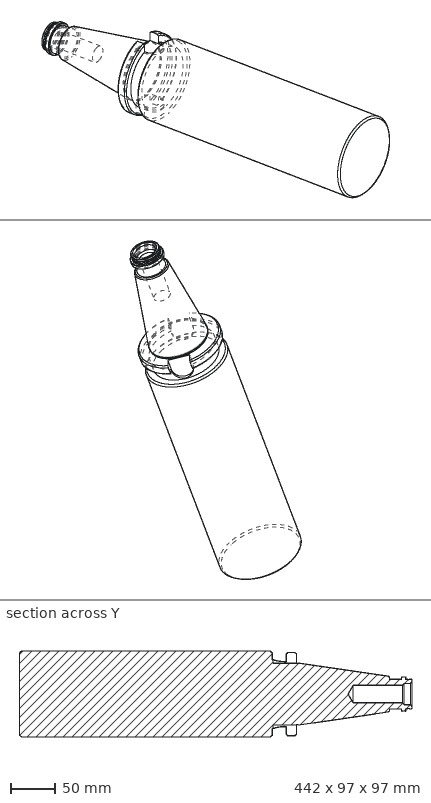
import cadquery as cq
import math

total_length = 442.0
body_radius = 48.5
body_start = 157.5
body_chamfer = 2.0

taper_start = 25.0
gauge_plane = 127.0
gauge_radius = 35.0
taper_slope = 7 / 48
taper_chamfer = 1.5
undercut_width = 1.8
undercut_depth = 0.5

flange_start = 130.0
flange_end = 142.0
flange_chamfer = 1.8
neck_radius = 39.0

pilot_radius = 17.0
pilot_chamfer = 0.5
groove_start = 2.5
groove_end = 5.5
groove_depth = 0.5
collar_start = 7.0
collar_end = 12.0
collar_radius = 19.5
collar_chamfer = 0.5

slot_width = 25.5
slot_end = 156.5
slot_floor = gauge_radius

mouth_radius = 14.0
clearance_radius = 12.0
clearance_start = 1.8
clearance_end = 9.0
bore_radius = 9.5
bore_start = clearance_end + clearance_radius - bore_radius
bore_end = 66.3
drill_point_angle = 120.0


def revolve(profile):
    """Revolve an outline of (x, radius) points about the X axis."""
    return cq.Workplane("XZ").polyline(profile).close().revolve(360, (0, 0, 0), (1, 0, 0))


def chamfered_disc(start, end, radius, chamfer):
    """Cylinder along X with both rims chamfered at 45 degrees."""
    return revolve([
        (start, 0),
        (start, radius - chamfer),
        (start + chamfer, radius),
        (end - chamfer, radius),
        (end, radius - chamfer),
        (end, 0),
    ])


def pilot():
    """Pilot cylinder with a V groove between its end and the collar."""
    return revolve([
        (0, 0),
        (0, pilot_radius - pilot_chamfer),
        (pilot_chamfer, pilot_radius),
        (groove_start, pilot_radius),
        ((groove_start + groove_end) / 2, pilot_radius - groove_depth),
        (groove_end, pilot_radius),
        (taper_start, pilot_radius),
        (taper_start, 0),
    ])


def taper():
    """Taper up to the gauge plane, then a cylinder undercut against the flange."""
    rim_x = taper_start + taper_chamfer
    rim_radius = gauge_radius - taper_slope * (gauge_plane - rim_x)
    undercut_start = flange_start - undercut_width
    undercut_radius = gauge_radius - undercut_depth
    return revolve([
        (taper_start, 0),
        (taper_start, rim_radius - taper_chamfer),
        (rim_x, rim_radius),
        (gauge_plane, gauge_radius),
        (undercut_start, gauge_radius),
        (undercut_start, undercut_radius),
        (flange_start, undercut_radius),
        (flange_start, 0),
    ])


def neck():
    return revolve([
        (flange_end, 0),
        (flange_end, neck_radius),
        (body_start, neck_radius),
        (body_start, 0),
    ])


def drive_slot():
    """Flat-floored slot above the axis, open toward the taper, with a round end."""
    half_width = slot_width / 2
    straight_end = slot_end - half_width
    return (
        cq.Workplane("XY")
        .workplane(offset=slot_floor)
        .moveTo(gauge_plane, -half_width)
        .lineTo(straight_end, -half_width)
        .threePointArc((slot_end, 0), (straight_end, half_width))
        .lineTo(gauge_plane, half_width)
        .close()
        .extrude(body_radius - slot_floor)
    )


def drawbar_bore():
    point_length = bore_radius / math.tan(math.radians(drill_point_angle / 2))
    return revolve([
        (0, 0),
        (0, mouth_radius),
        (clearance_start, clearance_radius),
        (clearance_end, clearance_radius),
        (bore_start, bore_radius),
        (bore_end, bore_radius),
        (bore_end + point_length, 0),
    ])


body = chamfered_disc(body_start, total_length, body_radius, body_chamfer)
flange = chamfered_disc(flange_start, flange_end, body_radius, flange_chamfer)
collar = chamfered_disc(collar_start, collar_end, collar_radius, collar_chamfer)
holder = body.union(neck()).union(flange).union(taper()).union(pilot()).union(collar)

upper_slot = drive_slot()
lower_slot = upper_slot.mirror("XY")
result = holder.cut(upper_slot).cut(lower_slot).cut(drawbar_bore())